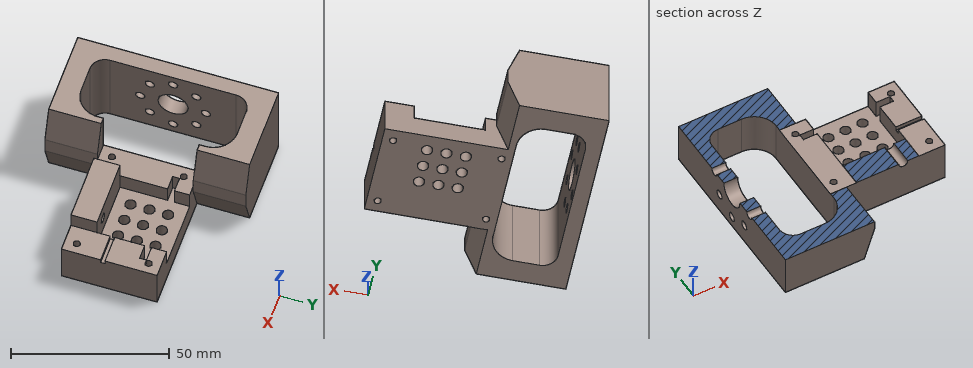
import cadquery as cq

frame_width = 67.0
frame_height = 30.0
frame_flat_end = 28.95
frame_tip = 32.75
tip_flat_height = 6.2
mid_height = frame_height / 2
wall_thickness = 5.1
window_end = 26.75
window_width = 52.1
window_front_radius = 5.0
window_rear_radius = 8.0

center_bore = 10.0
bolt_hole = 3.0
bolt_circle_radius = 10.95
bolt_count = 8

platform_end = 68.8
platform_width = 31.9
platform_length = platform_end - window_end
platform_center = (window_end + platform_end) / 2
screw_hole = 2.2
screw_spacing_x = 35.0
screw_spacing_y = 23.95

pocket_length = 22.9
pocket_floor = 8.6
raised_wall_thickness = 8.75
raised_wall_top = 20.85
raised_wall_inner_y = raised_wall_thickness - platform_width / 2
cross_hole = 3.2
cross_hole_x = 53.45
notch_depth = 5.0
notch_width = 2.3
notch_y = 9.8
vent_hole = 3.5
vent_pitch = 6.25
vent_count = 3
vent_center_y = 4.3

groove_width = 1.45
groove_depth = 1.45
groove_y = -2.1


def box(x_start, length, y_center, width, z_bottom, z_top):
    return cq.Workplane().box(length, width, z_top - z_bottom, centered=(False, True, False)).translate(
        (x_start, y_center, z_bottom)
    )


def make_frame():
    half_flat = tip_flat_height / 2
    return (
        cq.Workplane("XZ")
        .moveTo(0, 0)
        .lineTo(frame_flat_end, 0)
        .lineTo(frame_tip, mid_height - half_flat)
        .lineTo(frame_tip, mid_height + half_flat)
        .lineTo(frame_flat_end, frame_height)
        .lineTo(0, frame_height)
        .close()
        .extrude(frame_width / 2, both=True)
    )


def make_window():
    window = box(wall_thickness, window_end - wall_thickness, 0, window_width, 0, frame_height)
    window = window.edges("|Z and <X").fillet(window_front_radius)
    return window.edges("|Z and >X").fillet(window_rear_radius)


def make_wall_holes():
    wall_face = cq.Workplane("YZ", origin=(0, 0, mid_height))
    bore = wall_face.circle(center_bore / 2).extrude(wall_thickness)
    bolts = (
        wall_face.polarArray(bolt_circle_radius, 0, 360, bolt_count)
        .circle(bolt_hole / 2)
        .extrude(wall_thickness)
    )
    return bore.union(bolts)


def make_platform():
    pocket_start = platform_center - pocket_length / 2
    pocket_end = pocket_start + pocket_length
    pocket_width = platform_width - raised_wall_thickness
    pocket_y = raised_wall_inner_y + pocket_width / 2
    raised_wall_y = (raised_wall_thickness - platform_width) / 2

    platform = box(window_end, platform_length, 0, platform_width, 0, mid_height)
    platform = platform.union(
        box(pocket_start, pocket_length, raised_wall_y, raised_wall_thickness, 0, raised_wall_top)
    )
    platform = platform.cut(
        box(pocket_start, pocket_length, pocket_y, pocket_width, pocket_floor, mid_height)
    )
    platform = platform.cut(
        box(
            pocket_start - notch_depth,
            pocket_length + 2 * notch_depth,
            notch_y,
            notch_width,
            pocket_floor,
            mid_height,
        )
    )
    platform = platform.cut(
        box(
            pocket_end,
            platform_end - pocket_end,
            groove_y,
            groove_width,
            mid_height - groove_depth,
            mid_height,
        )
    )

    base = cq.Workplane("XY", origin=(platform_center, 0, 0))
    screws = base.rarray(screw_spacing_x, screw_spacing_y, 2, 2).circle(screw_hole / 2).extrude(mid_height)
    vents = (
        base.center(0, vent_center_y)
        .rarray(vent_pitch, vent_pitch, vent_count, vent_count)
        .circle(vent_hole / 2)
        .extrude(pocket_floor)
    )
    cross = (
        cq.Workplane("XZ", origin=(cross_hole_x, raised_wall_inner_y, mid_height))
        .circle(cross_hole / 2)
        .extrude(raised_wall_thickness)
    )
    return platform.cut(screws).cut(vents).cut(cross)


platform_clearance = box(window_end, platform_length, 0, platform_width, 0, frame_height)
frame = make_frame().cut(make_window()).cut(make_wall_holes()).cut(platform_clearance)
result = frame.union(make_platform())